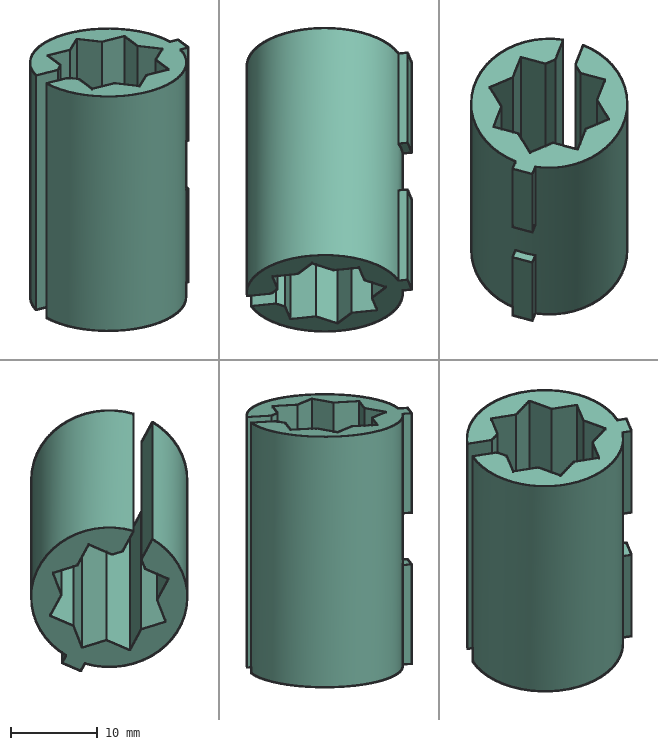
import cadquery as cq

length = 30.0
outer_radius = 9.0
star_square_side = 10.2
slot_width = 2.4
key_width = slot_width
key_reach = 10.0
key_gap = 6.18


def star_bore():
    """Two square prisms, one turned by 45 degrees about the sleeve axis."""
    square = cq.Workplane("XY").rect(star_square_side, star_square_side).extrude(length)
    turned_square = square.rotate((0, 0, 0), (0, 0, 1), 45)
    return square.union(turned_square)


def key():
    """Radial bar on the +Y side, cut back to the sleeve at mid-length."""
    bar = cq.Workplane("XY").box(key_width, key_reach, length, centered=(True, False, False))
    gap = (
        cq.Workplane("XY", origin=(0, 0, (length - key_gap) / 2))
        .box(key_width, key_reach, key_gap, centered=(True, False, False))
    )
    return bar.cut(gap)


def slot():
    """Full-length opening from the bore through the -Y wall."""
    return (
        cq.Workplane("XY", origin=(0, -outer_radius, 0))
        .box(slot_width, outer_radius, length, centered=(True, False, False))
    )


sleeve = cq.Workplane("XY").circle(outer_radius).extrude(length)
result = sleeve.union(key()).cut(star_bore()).cut(slot())